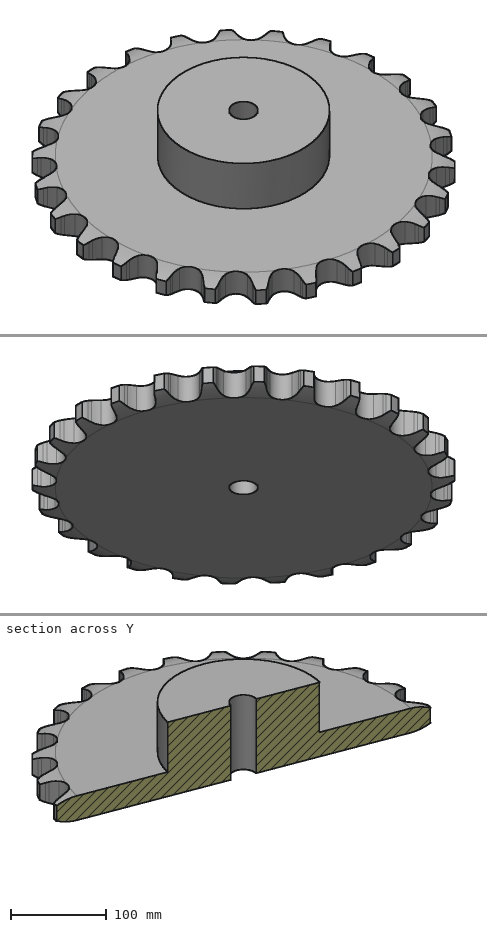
import cadquery as cq
import math

tooth_count = 26
chain_pitch = 51.0
roller_diameter = 29.0
tip_diameter = 442.0

plate_thickness = 30.0
total_height = 90.0
hub_diameter = 180.0
bore_diameter = 30.0
tip_thickness = 18.5

tooth_angle = 360 / tooth_count
tip_radius = tip_diameter / 2
pitch_radius = chain_pitch / 2 / math.sin(math.pi / tooth_count)

seat_radius = 0.505 * roller_diameter
working_radius = 1.305 * roller_diameter
flat_length = 0.133 * roller_diameter
topping_radius = 0.822 * roller_diameter
seat_end_angle = math.radians(35 + 60 / tooth_count)
working_sweep = math.radians(18 - 56 / tooth_count)
topping_sweep = math.radians(20)

relief_radius = 53.0
relief_depth = (plate_thickness - tip_thickness) / 2
relief_width = math.sqrt(relief_radius**2 - (relief_radius - relief_depth) ** 2)
face_radius = tip_radius - relief_width


def polar(center, radius, angle):
    """Point at a distance and direction from a center."""
    return (center[0] + radius * math.cos(angle), center[1] + radius * math.sin(angle))


def mirrored(point):
    """Same point on the other side of the gap's center line."""
    return (point[0], -point[1])


def relief_middle(side):
    """Midpoint of the relief arc, with side +1 for the upper face and -1 for the lower."""
    half_sweep = math.asin(relief_width / relief_radius) / 2
    radius = face_radius + relief_radius * math.sin(half_sweep)
    drop = relief_radius * (1 - math.cos(half_sweep))
    half_thickness = plate_thickness / 2
    return (radius, half_thickness + side * (half_thickness - drop))


def make_plate():
    """Round toothless plate with both faces relieved towards the rim."""
    return (
        cq.Workplane("XZ")
        .lineTo(face_radius, 0)
        .threePointArc(relief_middle(-1), (tip_radius, relief_depth))
        .lineTo(tip_radius, plate_thickness - relief_depth)
        .threePointArc(relief_middle(1), (face_radius, plate_thickness))
        .lineTo(0, plate_thickness)
        .close()
        .revolve(360, (0, 0, 0), (0, 1, 0))
    )


def make_gap():
    """Cutter for one tooth gap, opening along +X."""
    quarter_turn = math.pi / 2
    seat_center = (pitch_radius, 0)
    root = (pitch_radius - seat_radius, 0)

    seat_normal = quarter_turn + seat_end_angle
    flat_normal = seat_normal - working_sweep
    seat_end = polar(seat_center, seat_radius, seat_normal)
    working_center = polar(seat_end, -working_radius, seat_normal)
    working_middle = polar(working_center, working_radius, seat_normal - working_sweep / 2)
    working_end = polar(working_center, working_radius, flat_normal)
    flat_end = polar(working_end, flat_length, flat_normal - quarter_turn)
    topping_center = polar(flat_end, topping_radius, flat_normal)
    topping_middle = polar(topping_center, -topping_radius, flat_normal + topping_sweep / 2)
    topping_end = polar(topping_center, -topping_radius, flat_normal + topping_sweep)

    return (
        cq.Workplane("XY")
        .moveTo(*topping_end)
        .threePointArc(topping_middle, flat_end)
        .lineTo(*working_end)
        .threePointArc(working_middle, seat_end)
        .threePointArc(root, mirrored(seat_end))
        .threePointArc(mirrored(working_middle), mirrored(working_end))
        .lineTo(*mirrored(flat_end))
        .threePointArc(mirrored(topping_middle), mirrored(topping_end))
        .close()
        .extrude(plate_thickness)
    )


result = make_plate()
gap = make_gap()
for index in range(tooth_count):
    result = result.cut(gap.rotate((0, 0, 0), (0, 0, 1), (index + 0.5) * tooth_angle))

hub = cq.Workplane("XY").circle(hub_diameter / 2).extrude(total_height)
bore = cq.Workplane("XY").circle(bore_diameter / 2).extrude(total_height)
result = result.union(hub).cut(bore)